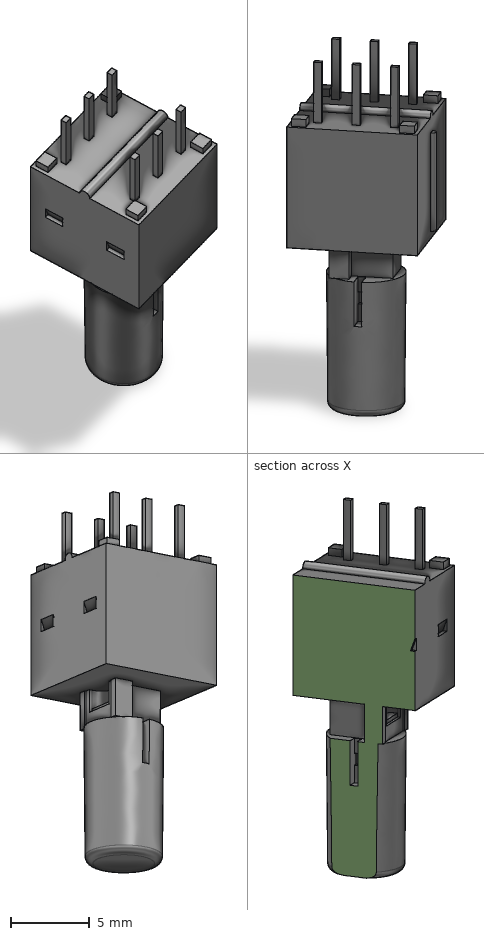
import cadquery as cq

HOUSING_WIDTH = 8.5
HOUSING_HEIGHT = 8.0
HOUSING_HALF = HOUSING_WIDTH / 2

PIN_SIZE_X = 0.4
PIN_SIZE_Y = 0.5
PIN_LENGTH = 4.0
PIN_COLUMN_SPACING = 5.4
PIN_PITCH = 2.5
PIN_ROW_SHIFT = -0.04
PIN_COLUMNS = 2
PINS_PER_COLUMN = 3

FOOT_SIZE = 0.95
FOOT_HEIGHT = 0.5
FOOT_INSET = 0.25

TOP_RIB_RADIUS = 0.4
BACK_RIB_RADIUS = 0.3
BACK_RIB_BOTTOM = 0.5
BACK_RIB_LENGTH = 6.5

WINDOW_WIDTH = 1.35
WINDOW_HEIGHT = 0.8
WINDOW_DEPTH = 0.3
WINDOW_SPACING = 4.8
WINDOW_BOTTOM = 3.95

STEM_LENGTH = 2.5
STEM_WIDTH = 4.0
STEM_REAR_WIDTH = 2.4
STEM_HALF_DEPTH = 2.0
STEM_STEP_Y = -0.7

STEM_PANEL_WIDTH = 3.0
STEM_PANEL_DEPTH = 0.1
STEM_POCKET_WIDTH = 2.2
STEM_POCKET_HEIGHT = 1.5
STEM_POCKET_DEPTH = 0.2
STEM_GROOVE_HEIGHT = 1.25

CAP_LENGTH = 9.0
CAP_TOP_RADIUS = 2.54
CAP_BOTTOM_RADIUS = 2.46
CAP_EDGE_FILLET = 0.5
CAP_TOP = -STEM_LENGTH

SLOT_WIDTH = 0.5
SLOT_LENGTH = 2.95
SLOT_FLOOR_X = 1.3
NOTCH_TOP = 1.0
NOTCH_HEIGHT = 0.8
NOTCH_DEPTH = 0.3


def block(x_range, y_range, z_range):
    """Axis-aligned box given by its lower and upper limit on each axis."""
    corner = cq.Vector(x_range[0], y_range[0], z_range[0])
    sizes = [limits[1] - limits[0] for limits in (x_range, y_range, z_range)]
    return cq.Workplane(cq.Solid.makeBox(*sizes, pnt=corner))


def make_housing():
    body = cq.Workplane("XY").rect(HOUSING_WIDTH, HOUSING_WIDTH).extrude(HOUSING_HEIGHT)
    top_rib = (
        cq.Workplane("XZ", origin=(0, HOUSING_HALF, HOUSING_HEIGHT))
        .circle(TOP_RIB_RADIUS)
        .extrude(HOUSING_WIDTH)
    )
    back_rib = (
        cq.Workplane("XY", origin=(0, HOUSING_HALF, BACK_RIB_BOTTOM))
        .circle(BACK_RIB_RADIUS)
        .extrude(BACK_RIB_LENGTH)
    )
    return body.union(top_rib).union(back_rib)


def make_pins():
    return (
        cq.Workplane("XY", origin=(0, PIN_ROW_SHIFT, HOUSING_HEIGHT))
        .rarray(PIN_COLUMN_SPACING, PIN_PITCH, PIN_COLUMNS, PINS_PER_COLUMN)
        .rect(PIN_SIZE_X, PIN_SIZE_Y)
        .extrude(PIN_LENGTH)
    )


def make_feet():
    foot_spacing = HOUSING_WIDTH - 2 * FOOT_INSET - FOOT_SIZE
    return (
        cq.Workplane("XY", origin=(0, 0, HOUSING_HEIGHT))
        .rect(foot_spacing, foot_spacing, forConstruction=True)
        .vertices()
        .rect(FOOT_SIZE, FOOT_SIZE)
        .extrude(FOOT_HEIGHT)
    )


def make_window(center_x):
    """Triangular wedge whose sloping face meets the front face at its top edge."""
    return (
        cq.Workplane("YZ", origin=(center_x - WINDOW_WIDTH / 2, -HOUSING_HALF, WINDOW_BOTTOM))
        .polyline([(0, 0), (WINDOW_DEPTH, 0), (0, WINDOW_HEIGHT)])
        .close()
        .extrude(WINDOW_WIDTH)
    )


def make_stem():
    length = (CAP_TOP, 0)
    half_width = STEM_WIDTH / 2
    half_rear = STEM_REAR_WIDTH / 2
    front_y = -STEM_HALF_DEPTH
    front_bar = block((-half_width, half_width), (front_y, STEM_STEP_Y), length)
    rear_bar = block((-half_rear, half_rear), (STEM_STEP_Y, STEM_HALF_DEPTH), length)

    half_panel = STEM_PANEL_WIDTH / 2
    panel_y = front_y + STEM_PANEL_DEPTH
    panel = block((-half_panel, half_panel), (front_y, panel_y), length)

    half_pocket = STEM_POCKET_WIDTH / 2
    pocket_y = panel_y + STEM_POCKET_DEPTH
    pocket = block((-half_pocket, half_pocket), (panel_y, pocket_y), (-STEM_POCKET_HEIGHT, 0))

    groove = (
        cq.Workplane("XY", origin=(0, pocket_y, 0))
        .circle(half_pocket)
        .extrude(-STEM_GROOVE_HEIGHT)
    )
    return front_bar.union(rear_bar).cut(panel).cut(pocket).cut(groove)


def make_cap():
    cap = (
        cq.Workplane("XY", origin=(0, 0, CAP_TOP))
        .circle(CAP_TOP_RADIUS)
        .workplane(offset=-CAP_LENGTH)
        .circle(CAP_BOTTOM_RADIUS)
        .loft()
        .faces("<Z")
        .edges()
        .fillet(CAP_EDGE_FILLET)
    )
    slot_y = (-SLOT_WIDTH / 2, SLOT_WIDTH / 2)
    notch_top_z = CAP_TOP - NOTCH_TOP
    slot = block((-CAP_TOP_RADIUS, -SLOT_FLOOR_X), slot_y, (CAP_TOP - SLOT_LENGTH, CAP_TOP))
    notch = block(
        (-SLOT_FLOOR_X, -SLOT_FLOOR_X + NOTCH_DEPTH),
        slot_y,
        (notch_top_z - NOTCH_HEIGHT, notch_top_z),
    )
    side_cut = slot.union(notch)
    return cap.cut(side_cut).cut(side_cut.mirror("YZ"))


housing = make_housing()
for window_x in (-WINDOW_SPACING / 2, WINDOW_SPACING / 2):
    housing = housing.cut(make_window(window_x))

result = housing.union(make_pins()).union(make_feet()).union(make_stem()).union(make_cap())